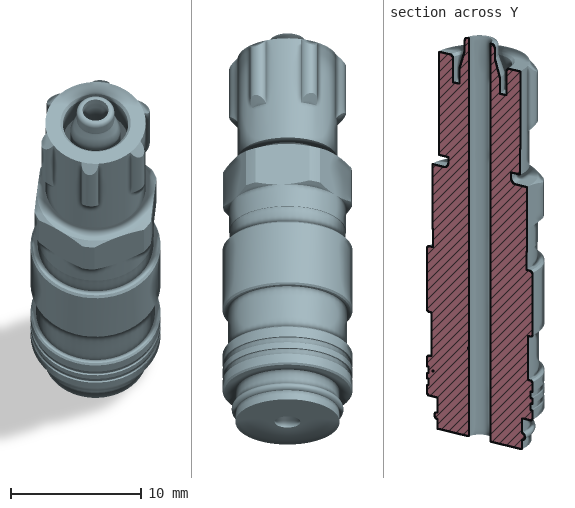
import cadquery as cq
import math

TOTAL_HEIGHT = 32.55
SKIRT_BOTTOM = 2.55
SKIRT_TOP = 5.83
COLLAR_BOTTOM = 9.37
COLLAR_TOP = 14.78
SLEEVE_STEP = 16.25
HEX_BOTTOM = 18.1
HEX_TOP = 21.55
NUT_BOTTOM = 22.4
RIB_BOTTOM = 25.45
NUT_TOP = 30.85

SPIGOT_DIAMETER = 8.0
COLLAR_DIAMETER = 10.0
BARREL_DIAMETER = 9.15
SLEEVE_DIAMETER = 8.9
HEX_SEAT_DIAMETER = 9.0
NECK_DIAMETER = 6.0
NUT_DIAMETER = 7.7

COLLAR_CHAMFER = 0.15
EDGE_CHAMFER = 0.13
NECK_FILLET = 0.4

RING_DIAMETER = 8.6
RING_SECTION_RADIUS = (RING_DIAMETER - SPIGOT_DIAMETER) / 2
RING_LEVEL = 1.07

GROOVE_DIAMETER = 9.7
GROOVE_WIDTH = 0.5
GROOVE_BOTTOMS = (3.42, 4.4)

HEX_ACROSS_FLATS = HEX_SEAT_DIAMETER
HEX_CORNER_DIAMETER = 9.9
HEX_CHAMFER_ANGLE = 30

RIB_COUNT = 6
RIB_RADIUS = 0.65
RIB_TIP_DIAMETER = 9.0

SOCKET_DIAMETER = 5.0
SOCKET_MOUTH_DIAMETER = 5.4
SOCKET_FLOOR = 28.65
NOZZLE_DIAMETER = 2.9
NOZZLE_BASE_DIAMETER = 3.85
NOZZLE_CONE_BOTTOM = 29.95
NOZZLE_CONE_TOP = 31.4
NOZZLE_FILLET = 0.33
BORE_DIAMETER = 2.0


def cylinder(diameter, bottom, top):
    return cq.Workplane("XY").workplane(offset=bottom).circle(diameter / 2).extrude(top - bottom)


def revolve_outline(outline):
    """Turn a closed outline of (radius, height) about the Z axis."""
    return outline.close().revolve(360, (0, 0, 0), (0, 1, 0))


def chamfered_envelope(diameter, flat_diameter, bottom, top, chamfer_height):
    """Cylinder whose two ends taper down to flat_diameter."""
    outline = cq.Workplane("XZ").polyline([
        (0, bottom),
        (flat_diameter / 2, bottom),
        (diameter / 2, bottom + chamfer_height),
        (diameter / 2, top - chamfer_height),
        (flat_diameter / 2, top),
        (0, top),
    ])
    return revolve_outline(outline)


def make_skirt():
    skirt = cylinder(COLLAR_DIAMETER, SKIRT_BOTTOM, SKIRT_TOP).edges().chamfer(EDGE_CHAMFER)
    for bottom in GROOVE_BOTTOMS:
        top = bottom + GROOVE_WIDTH
        groove = cylinder(COLLAR_DIAMETER, bottom, top).cut(cylinder(GROOVE_DIAMETER, bottom, top))
        skirt = skirt.cut(groove)
    return skirt


def make_sealing_ring():
    return cq.Workplane("XY").add(
        cq.Solid.makeTorus(SPIGOT_DIAMETER / 2, RING_SECTION_RADIUS, cq.Vector(0, 0, RING_LEVEL))
    )


def make_hexagon():
    chamfer_depth = (HEX_CORNER_DIAMETER - HEX_ACROSS_FLATS) / 2
    chamfer_height = chamfer_depth * math.tan(math.radians(HEX_CHAMFER_ANGLE))
    prism = (
        cq.Workplane("XY")
        .workplane(offset=HEX_BOTTOM)
        .transformed(rotate=(0, 0, 90))
        .polygon(6, HEX_ACROSS_FLATS / math.cos(math.pi / 6))
        .extrude(HEX_TOP - HEX_BOTTOM)
    )
    return prism.intersect(chamfered_envelope(
        HEX_CORNER_DIAMETER, HEX_ACROSS_FLATS, HEX_BOTTOM, HEX_TOP, chamfer_height
    ))


def make_neck():
    """Short neck that flares out in a quarter round onto the hexagon."""
    radius = NECK_DIAMETER / 2
    outline = (
        cq.Workplane("XZ")
        .moveTo(0, HEX_TOP)
        .lineTo(radius + NECK_FILLET, HEX_TOP)
        .radiusArc((radius, HEX_TOP + NECK_FILLET), NECK_FILLET)
        .lineTo(radius, NUT_BOTTOM)
        .lineTo(0, NUT_BOTTOM)
    )
    return revolve_outline(outline)


def make_nut():
    """Round nut with half-round ribs whose ends slope in at 45 degrees."""
    slope = (RIB_TIP_DIAMETER - NUT_DIAMETER) / 2
    ribs = (
        cq.Workplane("XY")
        .workplane(offset=RIB_BOTTOM)
        .polarArray(RIB_TIP_DIAMETER / 2 - RIB_RADIUS, 90, 360, RIB_COUNT)
        .circle(RIB_RADIUS)
        .extrude(NUT_TOP - RIB_BOTTOM)
    )
    ribs = ribs.intersect(chamfered_envelope(
        RIB_TIP_DIAMETER, NUT_DIAMETER, RIB_BOTTOM, NUT_TOP, slope
    ))
    return cylinder(NUT_DIAMETER, NUT_BOTTOM, NUT_TOP).union(ribs)


def make_socket():
    chamfer = (SOCKET_MOUTH_DIAMETER - SOCKET_DIAMETER) / 2
    outline = cq.Workplane("XZ").polyline([
        (0, SOCKET_FLOOR),
        (SOCKET_DIAMETER / 2, SOCKET_FLOOR),
        (SOCKET_DIAMETER / 2, NUT_TOP - chamfer),
        (SOCKET_MOUTH_DIAMETER / 2, NUT_TOP),
        (0, NUT_TOP),
    ])
    return revolve_outline(outline)


def make_nozzle():
    outline = cq.Workplane("XZ").polyline([
        (0, SOCKET_FLOOR),
        (NOZZLE_BASE_DIAMETER / 2, SOCKET_FLOOR),
        (NOZZLE_BASE_DIAMETER / 2, NOZZLE_CONE_BOTTOM),
        (NOZZLE_DIAMETER / 2, NOZZLE_CONE_TOP),
        (NOZZLE_DIAMETER / 2, TOTAL_HEIGHT),
        (0, TOTAL_HEIGHT),
    ])
    return revolve_outline(outline).faces(">Z").edges().fillet(NOZZLE_FILLET)


collar = cylinder(COLLAR_DIAMETER, COLLAR_BOTTOM, COLLAR_TOP)
collar = collar.faces(">Z").edges().chamfer(COLLAR_CHAMFER)
collar = collar.faces("<Z").edges().chamfer(EDGE_CHAMFER)

result = (
    cylinder(SPIGOT_DIAMETER, 0, SKIRT_BOTTOM)
    .union(make_sealing_ring())
    .union(make_skirt())
    .union(cylinder(BARREL_DIAMETER, SKIRT_TOP, COLLAR_BOTTOM))
    .union(collar)
    .union(cylinder(SLEEVE_DIAMETER, COLLAR_TOP, SLEEVE_STEP))
    .union(cylinder(HEX_SEAT_DIAMETER, SLEEVE_STEP, HEX_BOTTOM))
    .union(make_hexagon())
    .union(make_neck())
    .union(make_nut())
    .cut(make_socket())
    .union(make_nozzle())
    .cut(cylinder(BORE_DIAMETER, 0, TOTAL_HEIGHT))
)